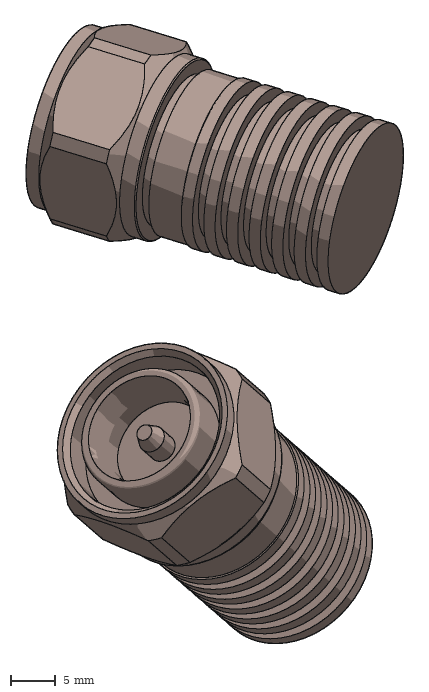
import cadquery as cq
import math

LENGTH = 37.8

NUT_FRONT = 0.7
NUT_REAR = 14.3
ACROSS_FLATS = 22.0
CORNER_RADIUS = 12.25
COLLAR_RADIUS = 10.75
CORNER_CHAMFER = CORNER_RADIUS - COLLAR_RADIUS
HEX_FRONT = 2.3
HEX_REAR = 12.32
NUT_REAR_CHAMFER = 0.15
RECESS_RADIUS = 9.4
RECESS_MOUTH_RADIUS = 10.05
RECESS_MOUTH_DEPTH = RECESS_MOUTH_RADIUS - RECESS_RADIUS
RECESS_FLOOR = 5.18

SLEEVE_RADIUS = 7.5
SLEEVE_ROUND = 0.5
SOCKET_MOUTH_RADIUS = 6.43
SOCKET_RADIUS = 5.67
SOCKET_TAPER_END = 3.4
SOCKET_FLOOR = 5.67

PIN_RADIUS = 1.6
PIN_TIP_RADIUS = 0.95
PIN_TIP = 1.2
PIN_TAPER_END = 3.02

NECK_RADIUS = 8.92
SHOULDER_START = 15.5
SHOULDER_RADIUS = 9.8
RIB_COUNT = 7
RIB_WIDTH = 1.4
RIB_PITCH = 2 * RIB_WIDTH
RIB_RADIUS = 10.0
RIB_CORE_RADIUS = 8.45
RIBS_START = LENGTH - (RIB_COUNT - 1) * RIB_PITCH - RIB_WIDTH


def cylinder(start, end, radius):
    """Round bar on the X axis."""
    return cq.Workplane("YZ").workplane(offset=start).circle(radius).extrude(end - start)


def revolve_profile(points):
    """Turn a closed (x, radius) outline about the X axis."""
    return cq.Workplane("XY").polyline(points).close().revolve(360, (0, 0, 0), (1, 0, 0))


def make_hexagon():
    """Hexagon with flats facing +Y and -Y, turned and chamfered at its corners."""
    across_corners = ACROSS_FLATS / math.cos(math.pi / 6)
    prism = (
        cq.Workplane("YZ")
        .workplane(offset=HEX_FRONT)
        .transformed(rotate=(0, 0, 90))
        .polygon(6, across_corners)
        .extrude(HEX_REAR - HEX_FRONT)
    )
    turned = cylinder(HEX_FRONT, HEX_REAR, CORNER_RADIUS).edges().chamfer(CORNER_CHAMFER)
    return prism.intersect(turned)


def make_nut():
    """Hexagonal nut with round collars, a front recess and a bore for the sleeve."""
    collar = cylinder(NUT_FRONT, NUT_REAR, COLLAR_RADIUS).faces(">X").edges().chamfer(NUT_REAR_CHAMFER)
    recess = revolve_profile([
        (NUT_FRONT, 0),
        (NUT_FRONT, RECESS_MOUTH_RADIUS),
        (NUT_FRONT + RECESS_MOUTH_DEPTH, RECESS_RADIUS),
        (RECESS_FLOOR, RECESS_RADIUS),
        (RECESS_FLOOR, 0),
    ])
    bore = cylinder(NUT_FRONT, NUT_REAR, SLEEVE_RADIUS)
    return collar.union(make_hexagon()).cut(recess).cut(bore)


def make_sleeve():
    """Rounded front sleeve with a tapered socket, up to the rear of the nut."""
    sleeve = cylinder(0, NUT_REAR, SLEEVE_RADIUS).faces("<X").edges().fillet(SLEEVE_ROUND)
    socket = revolve_profile([
        (0, 0),
        (0, SOCKET_MOUTH_RADIUS),
        (SOCKET_TAPER_END, SOCKET_RADIUS),
        (SOCKET_FLOOR, SOCKET_RADIUS),
        (SOCKET_FLOOR, 0),
    ])
    return sleeve.cut(socket)


def make_pin():
    """Centre contact with a conical tip, standing on the socket floor."""
    return revolve_profile([
        (PIN_TIP, 0),
        (PIN_TIP, PIN_TIP_RADIUS),
        (PIN_TAPER_END, PIN_RADIUS),
        (SOCKET_FLOOR, PIN_RADIUS),
        (SOCKET_FLOOR, 0),
    ])


def make_body():
    """Connector body: sleeve, contact, neck, shoulder and ribbed rear barrel."""
    body = make_sleeve().union(make_pin())
    body = body.union(cylinder(NUT_REAR, SHOULDER_START, NECK_RADIUS))
    body = body.union(cylinder(SHOULDER_START, RIBS_START, SHOULDER_RADIUS))
    body = body.union(cylinder(RIBS_START, LENGTH, RIB_CORE_RADIUS))
    for index in range(RIB_COUNT):
        rib_start = RIBS_START + index * RIB_PITCH
        body = body.union(cylinder(rib_start, rib_start + RIB_WIDTH, RIB_RADIUS))
    return body


nut = make_nut()
body = make_body()

result = cq.Compound.makeCompound([nut.val(), body.val()])